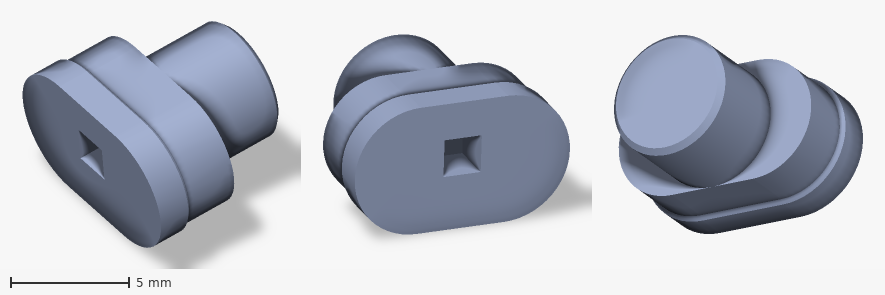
import cadquery as cq

tilt_angle = 4.57
flange_width = 9.85
centre_distance = 4.0
pin_diameter = 5.5
flange_length = 1.45
flange_taper = 0.18
base_length = 4.0
pin_length = 4.0
pin_chamfer = 0.25
socket_size = 1.7
socket_depth = 2.07
socket_offset = 0.4

flange_height = flange_width - centre_distance
flange_step = (flange_height - pin_diameter) / 2
body_width = centre_distance + pin_diameter
total_length = base_length + pin_length


def oblong(width, height, length):
    """Oblong prism running from the front face (Y = 0) towards +Y."""
    return cq.Workplane("XZ").slot2D(width, height).extrude(-length)


def make_flange():
    """Front flange, bevelled at the back down to the body outline."""
    flange = oblong(flange_width, flange_height, flange_length + flange_taper)
    return flange.faces(">Y").chamfer(flange_taper, flange_step)


def make_pin():
    """Round pin along the part axis with a chamfered free end."""
    pin = cq.Workplane("XZ").circle(pin_diameter / 2).extrude(-total_length)
    return pin.faces(">Y").chamfer(pin_chamfer)


def make_socket():
    """Square blind socket cut into the front face."""
    socket = cq.Workplane("XZ").center(0, socket_offset)
    return socket.rect(socket_size, socket_size).extrude(-socket_depth)


body = oblong(body_width, pin_diameter, base_length)
part = make_flange().union(body).union(make_pin()).cut(make_socket())

result = part.rotate((0, 0, 0), (1, 0, 0), tilt_angle)